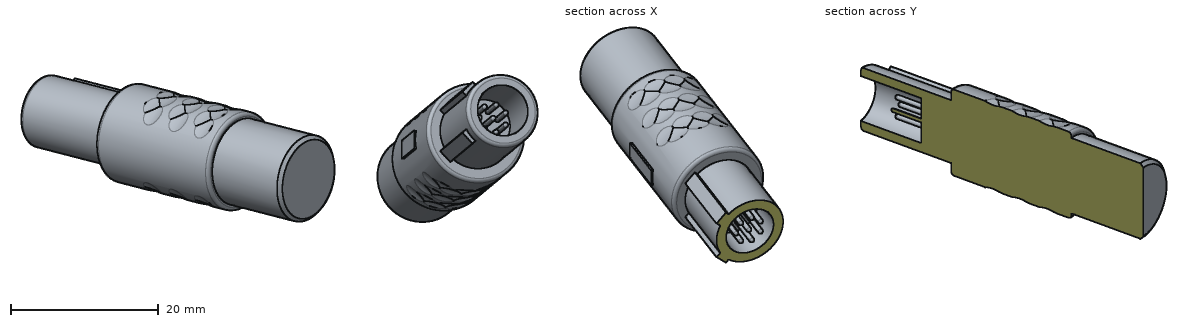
import cadquery as cq
import math

total_length = 47.0
nose_length = 15.0
grip_length = 20.0
grip_end_x = nose_length + grip_length

nose_diameter = 10.0
grip_diameter = 13.7
tail_diameter = 12.0
grip_radius = grip_diameter / 2

edge_fillet = 0.5
tail_chamfer = 0.5

socket_diameter = 7.0
socket_depth = 10.0
pin_diameter = 0.7
pin_length = 5.0
pin_circle_radius = 1.95
ring_pin_count = 7

key_start_x = 2.5
key_width = 2.0
key_top_distance = 5.55
key_base_distance = 4.0
key_side_shift = 0.5
key_angle = 45.0

scale_half_length = 1.25
scale_depth = 0.2
scale_angle_step = 26.0
scale_row_offset = 1.05
front_row_steps = (-1, 0, 1)
rear_row_steps = (-1.5, -0.5, 0.5, 1.5)
band_count = 3
band_pitch = 4.5
first_row_x = 21.95
cutter_radius = (scale_half_length**2 + scale_depth**2) / (2 * scale_depth)
cutter_axis_radius = grip_radius - scale_depth + cutter_radius

pad_start_x = 21.53
pad_length = 6.8
pad_height = 2.5
pad_rise = 0.2


def barrel(start_x, length, diameter):
    """Solid cylinder along +X."""
    return cq.Workplane("YZ", origin=(start_x, 0, 0)).circle(diameter / 2).extrude(length)


def stepped_body():
    nose = barrel(0, nose_length, nose_diameter).faces("<X").edges().fillet(edge_fillet)
    grip = barrel(nose_length, grip_length, grip_diameter).edges("%CIRCLE").fillet(edge_fillet)
    tail_length = total_length - grip_end_x
    tail = barrel(grip_end_x, tail_length, tail_diameter).faces(">X").edges().chamfer(tail_chamfer)
    return nose.union(grip).union(tail)


def guide_key():
    """Flat-topped rib on the upper +Y side of the nose, shifted sideways towards the XY plane."""
    rib = cq.Workplane("XY").box(
        nose_length - key_start_x,
        key_top_distance - key_base_distance,
        key_width,
        centered=(False, False, True),
    )
    rib = rib.translate((key_start_x, key_base_distance, -key_side_shift))
    return rib.rotate((0, 0, 0), (1, 0, 0), key_angle)


def pin(y, z):
    """Round-ended contact standing on the socket floor."""
    pin_radius = pin_diameter / 2
    dome_center_x = socket_depth - pin_length + pin_radius
    shank = barrel(dome_center_x, pin_length - pin_radius, pin_diameter)
    dome = cq.Workplane("XY").sphere(pin_radius).translate((dome_center_x, 0, 0))
    return shank.union(dome).translate((0, y, z))


def contact_pins():
    pins = pin(0, 0)
    for index in range(ring_pin_count):
        angle = 2 * math.pi * index / ring_pin_count
        pins = pins.union(pin(pin_circle_radius * math.cos(angle), pin_circle_radius * math.sin(angle)))
    return pins


def scale_cutter(x, angle):
    """Cylinder lying crosswise over the grip, turned about X away from +Z."""
    cutter = cq.Workplane("XZ", origin=(x, grip_radius / 2, cutter_axis_radius))
    cutter = cutter.circle(cutter_radius).extrude(grip_radius)
    return cutter.rotate((0, 0, 0), (1, 0, 0), angle)


def cut_scales(body):
    """Cut the bands of scales into the top and bottom of the grip."""
    for band in range(band_count):
        row_x = first_row_x + band * band_pitch
        for side_angle in (0, 180):
            for x, steps in ((row_x, front_row_steps), (row_x + scale_row_offset, rear_row_steps)):
                for step in steps:
                    body = body.cut(scale_cutter(x, side_angle + step * scale_angle_step))
    return body


def label_pad():
    pad_base_y = tail_diameter / 2
    pad_thickness = grip_radius + pad_rise - pad_base_y
    pad = cq.Workplane("XY").box(pad_length, pad_thickness, pad_height, centered=(False, False, True))
    return pad.translate((pad_start_x, pad_base_y, 0))


key = guide_key()
socket = barrel(0, socket_depth, socket_diameter)

result = cut_scales(stepped_body())
result = result.union(label_pad())
result = result.union(key).union(key.mirror("XY"))
result = result.cut(socket).union(contact_pins())